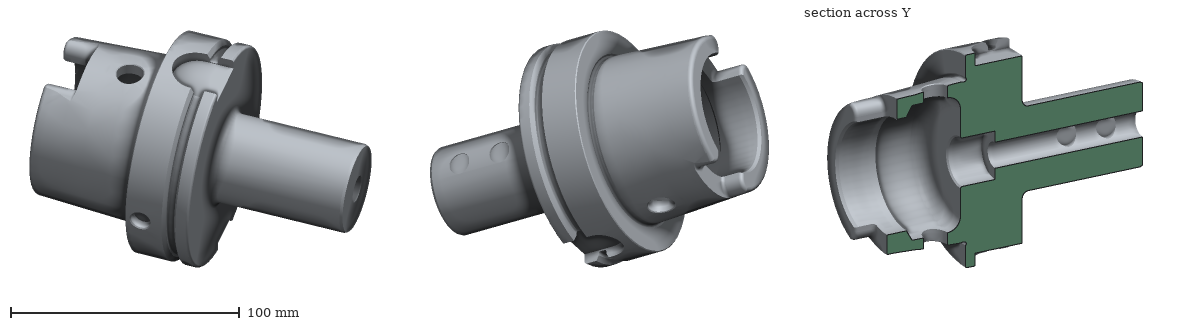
import cadquery as cq
import math


shank_length = 49.9
taper_ratio = 1 / 10
gauge_r = 75 / 2
gauge_x = -9.0
shank_edge_r = 2.0
taper_end_x = -2.4
neck_r = 75.27 / 2
neck_x = -1.6

relief_start_x = -0.6
relief_round = 1.0
relief_outer_r = 39.4

flange_r = 50.0
flange_width = 29.0
flange_chamfer = 0.4
flange_edge_r = 1.2
v_center_x = 20.0
v_half_width = 3.2
v_root_half_width = 1.85
v_flank_angle = 60
v_root_r = 45.8
v_root_round = 0.8

nose_r = 20.0
nose_end_x = 90.0
nose_root_r = 3.0
nose_chamfer_length = 1.2
nose_chamfer_depth = 0.6

mouth_r = 53 / 2
mouth_chamfer_depth = 0.75
mouth_chamfer_length = 1.5
lip_depth = 20.0
clamp_r = 63 / 2
clamp_cone_angle = 60
clamp_end_x = -9.1
clamp_floor_r = 25.0
thread_r = 22.5 / 2
thread_chamfer = 0.75
thread_end_x = 15.0
through_r = 12 / 2

drive_half_width = 10.0
drive_corner_r = 5.0
drive_height = 32.0
drive_fall_angle = 22
drive_round = 1.5
lug_end_round = 1.75
upper_drive_depth = 15.0
lower_drive_depth = 10.0

access_r = 12 / 2
access_x = -15.1
access_chamfer = 0.4
chip_r = 9 / 2
chip_x = 7.0
chip_depth = 4.6
chip_chamfer = 0.5

key_floor = 44.0
key_start_x = 5.0
upper_key_width = 22.0
lower_key_width = 20.0

screw_r = 10 / 2
screw_xs = (55.0, 75.0)
screw_top = 19.0
screw_tip = through_r

shank_x = -shank_length


def taper_radius(x):
    return gauge_r + (x - gauge_x) * taper_ratio / 2


def turned(profile):
    return profile.close().revolve(360, (0, 0, 0), (1, 0, 0))


def outer_body():
    """Turned outside of the holder, solid on the axis."""
    flank = (v_half_width - v_root_half_width) * math.tan(math.radians(v_flank_angle))
    shoulder_r = flange_r - flank
    v_left = v_center_x - v_half_width
    v_right = v_center_x + v_half_width
    root_left = v_center_x - v_root_half_width
    root_right = v_center_x + v_root_half_width
    inner_diagonal = 1 - math.sqrt(0.5)
    relief_end_x = relief_start_x + relief_round
    relief_floor_r = neck_r + relief_round
    edge_mid = flange_edge_r * inner_diagonal
    root_mid = v_root_round * inner_diagonal
    nose_mid = nose_root_r * inner_diagonal
    relief_mid = relief_round * inner_diagonal
    profile = (
        cq.Workplane("XY")
        .moveTo(shank_x, 0)
        .lineTo(shank_x, taper_radius(shank_x))
        .lineTo(taper_end_x, taper_radius(taper_end_x))
        .lineTo(neck_x, neck_r)
        .lineTo(relief_start_x, neck_r)
        .threePointArc((relief_end_x - relief_mid, neck_r + relief_mid), (relief_end_x, relief_floor_r))
        .lineTo(0, relief_outer_r)
        .lineTo(0, flange_r - flange_chamfer)
        .lineTo(flange_chamfer, flange_r)
        .lineTo(v_left, flange_r)
        .lineTo(root_left, shoulder_r)
        .lineTo(root_left, v_root_r + v_root_round)
        .threePointArc((root_left + root_mid, v_root_r + root_mid), (root_left + v_root_round, v_root_r))
        .lineTo(root_right - v_root_round, v_root_r)
        .threePointArc((root_right - root_mid, v_root_r + root_mid), (root_right, v_root_r + v_root_round))
        .lineTo(root_right, shoulder_r)
        .lineTo(v_right, flange_r)
        .lineTo(flange_width - flange_edge_r, flange_r)
        .threePointArc((flange_width - edge_mid, flange_r - edge_mid), (flange_width, flange_r - flange_edge_r))
        .lineTo(flange_width, nose_r + nose_root_r)
        .threePointArc((flange_width + nose_mid, nose_r + nose_mid), (flange_width + nose_root_r, nose_r))
        .lineTo(nose_end_x - nose_chamfer_length, nose_r)
        .lineTo(nose_end_x, nose_r - nose_chamfer_depth)
        .lineTo(nose_end_x, 0)
    )
    return turned(profile).faces("<X").edges().fillet(shank_edge_r)


def bores():
    """Stepped cavity: clamping lip, undercut, threaded bore and through bore."""
    lip_end_x = shank_x + lip_depth
    cone_length = (clamp_r - mouth_r) / math.tan(math.radians(clamp_cone_angle))
    floor_round = clamp_r - clamp_floor_r
    floor_x = clamp_end_x + floor_round
    round_diagonal = floor_round * math.sqrt(0.5)
    profile = (
        cq.Workplane("XY")
        .moveTo(shank_x, 0)
        .lineTo(shank_x, mouth_r + mouth_chamfer_depth)
        .lineTo(shank_x + mouth_chamfer_length, mouth_r)
        .lineTo(lip_end_x, mouth_r)
        .lineTo(lip_end_x + cone_length, clamp_r)
        .lineTo(clamp_end_x, clamp_r)
        .threePointArc(
            (clamp_end_x + round_diagonal, clamp_floor_r + round_diagonal), (floor_x, clamp_floor_r)
        )
        .lineTo(floor_x, thread_r + thread_chamfer)
        .lineTo(floor_x + thread_chamfer, thread_r)
        .lineTo(thread_end_x, thread_r)
        .lineTo(thread_end_x, through_r)
        .lineTo(nose_end_x, through_r)
        .lineTo(nose_end_x, 0)
    )
    return turned(profile)


def lug(side):
    """Prism with a rounded -X end that a drive slot leaves standing; side is +1 for +Y, -1 for -Y."""
    fall = math.radians(drive_fall_angle)
    center_y = drive_half_width + drive_corner_r
    center_z = drive_height - drive_corner_r
    end_y = center_y + drive_corner_r * math.sin(fall)
    end_z = center_z + drive_corner_r * math.cos(fall)
    outer_z = end_z - (flange_r - end_y) * math.tan(fall)
    inset = drive_corner_r * math.sqrt(0.5)
    wall_y = side * drive_half_width
    corner_y = side * (center_y - inset)
    outline = (
        cq.Workplane("YZ", origin=(shank_x, 0, 0))
        .moveTo(wall_y, -center_z)
        .lineTo(wall_y, center_z)
        .threePointArc((corner_y, center_z + inset), (side * end_y, end_z))
        .lineTo(side * flange_r, outer_z)
        .lineTo(side * flange_r, -outer_z)
        .lineTo(side * end_y, -end_z)
        .threePointArc((corner_y, -center_z - inset), (wall_y, -center_z))
        .close()
    )
    return outline.extrude(shank_length).faces("<X").edges().fillet(lug_end_round)


def drive_slot(depth, side):
    """Cutter for one drive slot between the lugs; side is +1 above the axis and -1 below it."""
    block = (
        cq.Workplane("YZ", origin=(shank_x, 0, side * flange_r / 2))
        .rect(2 * flange_r, flange_r)
        .extrude(depth)
    )
    cutter = block.cut(lug(1)).cut(lug(-1))
    return cutter.faces(">X").edges().fillet(drive_round)


def keyway(width, side):
    """Cutter for one keyway with a round end, open towards +X."""
    length = 2 * flange_width
    return (
        cq.Workplane("XY", origin=(key_start_x + length / 2, 0, side * key_floor))
        .slot2D(length, width)
        .extrude(side * flange_r)
    )


def access_hole():
    """Hole right across the taper shank along Z."""
    start = (access_x, 0, -flange_r)
    return cq.Workplane("XY", origin=start).circle(access_r).extrude(2 * flange_r)


def edges_in(low, high):
    """Selector for the edges whose centres lie in the box between two corners."""
    return cq.selectors.BoxSelector(low, high)


def countersink_access_hole(body):
    """Chamfer both ends of the access hole on the taper surface."""
    wall_middle = (clamp_r + taper_radius(access_x)) / 2
    for low_z, high_z in ((wall_middle, flange_r), (-flange_r, -wall_middle)):
        low = (access_x - access_r, -access_r, low_z)
        high = (access_x + access_r, access_r, high_z)
        body = body.edges(edges_in(low, high)).chamfer(access_chamfer)
    return body


def chip_hole():
    """Blind hole in the flange rim on the -Y side."""
    rim = cq.Workplane("XZ", origin=(chip_x, 0, 0)).workplane(offset=flange_r - chip_depth)
    return rim.circle(chip_r).extrude(2 * chip_depth)


def countersink_chip_hole(body):
    """Chamfer the chip hole where it breaks through the flange rim."""
    low = (chip_x - chip_r, -flange_r, -chip_r)
    high = (chip_x + chip_r, chip_depth / 2 - flange_r, chip_r)
    return body.edges(edges_in(low, high)).chamfer(chip_chamfer)


def screw_cylinder(x, bottom, top):
    """Cylinder along +Y from bottom to top."""
    return cq.Workplane("XZ", origin=(x, bottom, 0)).circle(screw_r).extrude(bottom - top)


holder = outer_body().cut(bores())
holder = holder.cut(drive_slot(upper_drive_depth, 1)).cut(drive_slot(lower_drive_depth, -1))
holder = holder.cut(keyway(upper_key_width, 1)).cut(keyway(lower_key_width, -1))
holder = holder.cut(access_hole()).cut(chip_hole())
holder = countersink_access_hole(holder)
holder = countersink_chip_hole(holder)
screws = []
for x in screw_xs:
    holder = holder.cut(screw_cylinder(x, 0, 2 * nose_r))
    screws.append(screw_cylinder(x, screw_tip, screw_top))

result = cq.Compound.makeCompound([holder.val(), *[screw.val() for screw in screws]])